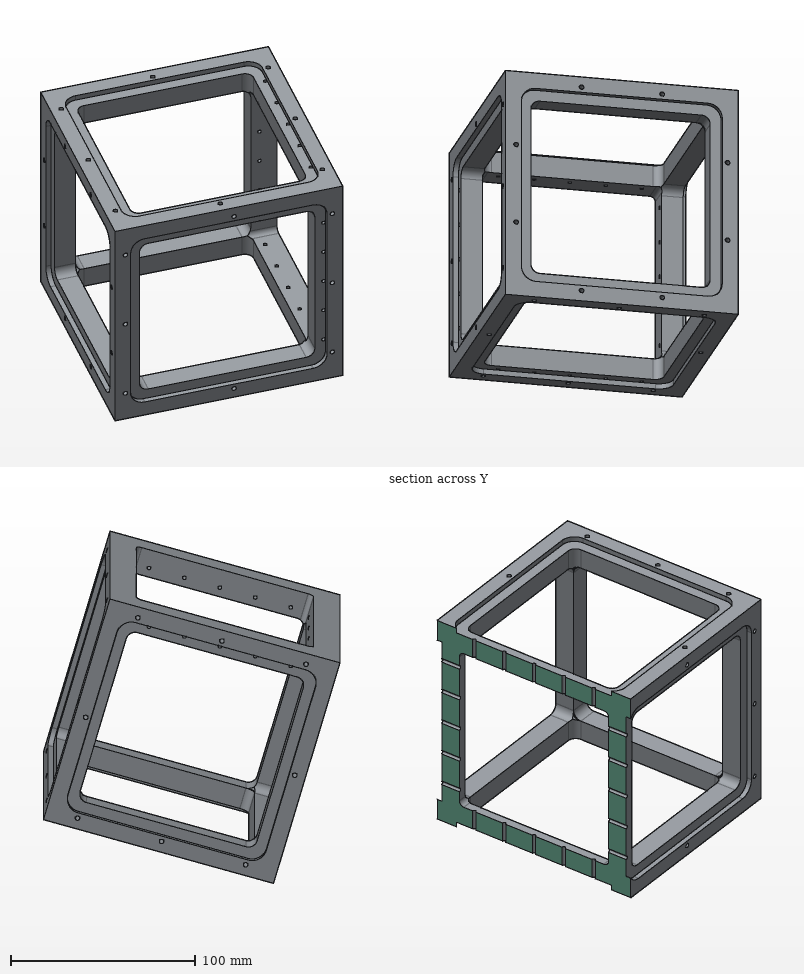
import cadquery as cq

side = 130.0
opening_width = 100.0
opening_radius = 5.0
wall = (side - opening_width) / 2
hollow_radius = 3.0

seat_width = 112.0
seat_radius = 8.0
seat_depth = 3.0

screw_diameter = 2.5
screw_depth = 10.0
screw_inset = 6.0
screw_line = side / 2 - screw_inset
paired_spacing = 45.0
outer_spacing = 94.9
middle_offset = 3.0

row_diameter = 2.0
row_count = 5
row_pitch = 20.0
row_inset = 10.0
row_line = side / 2 - row_inset


def outward_face(axis, direction):
    """Workplane on a cube face, with its normal pointing out.

    Local y is global Y on the X and Z faces, and global Z on the Y faces.
    """
    normals = {"X": (1, 0, 0), "Y": (0, 1, 0), "Z": (0, 0, 1)}
    normal = cq.Vector(*normals[axis]) * direction
    local_y = cq.Vector(0, 0, 1) if axis == "Y" else cq.Vector(0, 1, 0)
    return cq.Workplane(cq.Plane(normal * (side / 2), local_y.cross(normal), normal))


def rounded_pocket(axis, direction, width, radius, depth):
    block = outward_face(axis, direction).rect(width, width).extrude(-depth)
    return block.edges("|" + axis).fillet(radius)


def blind_screw_holes(axis, direction):
    face = outward_face(axis, direction).pushPoints(screw_points[axis])
    return face.circle(screw_diameter / 2).extrude(-screw_depth)


def paired_screw_points():
    half_spacing = paired_spacing / 2
    points = []
    for across in (-screw_line, screw_line):
        for along in (-half_spacing, half_spacing):
            points += [(along, across), (across, along)]
    return points


def triple_screw_points(lone_y):
    half_spacing = outer_spacing / 2
    points = [(-screw_line, lone_y), (screw_line, lone_y)]
    for across in (-screw_line, screw_line):
        points += [(along, across) for along in (-half_spacing, 0, half_spacing)]
    return points


screw_points = {
    "X": triple_screw_points(middle_offset),
    "Y": paired_screw_points(),
    "Z": triple_screw_points(-middle_offset),
}

result = cq.Workplane("XY").box(side, side, side)

result = result.cut(rounded_pocket("Y", 1, opening_width, hollow_radius, side - wall))

for axis in "XYZ":
    result = result.cut(rounded_pocket(axis, 1, opening_width, opening_radius, side))
    seat_directions = (-1,) if axis == "Y" else (-1, 1)
    for direction in seat_directions:
        result = result.cut(rounded_pocket(axis, direction, seat_width, seat_radius, seat_depth))
        result = result.cut(blind_screw_holes(axis, direction))

row_points = [((i - (row_count - 1) / 2) * row_pitch, row_line) for i in range(row_count)]
for axis in "XZ":
    rows = outward_face(axis, 1).pushPoints(row_points).circle(row_diameter / 2).extrude(-side)
    result = result.cut(rows)